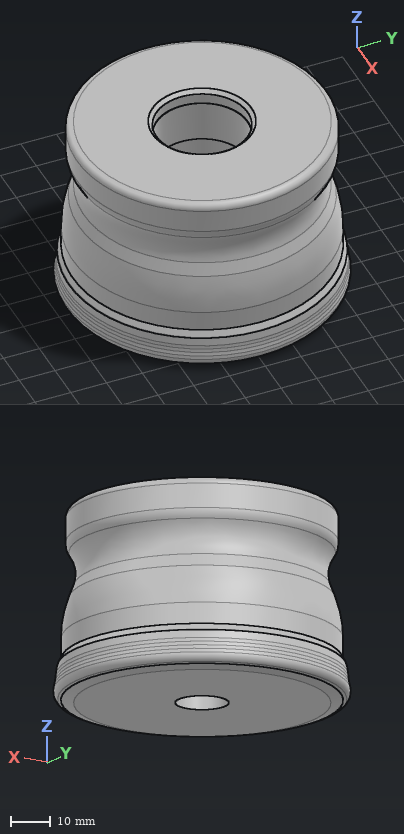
import cadquery as cq
import math

TOTAL_HEIGHT = 50.8

RIM_RADIUS = 35.0
RIM_TOP_ROUND = 2.0
RIM_BOTTOM_Z = 42.4
RIM_BLEND_RADIUS = 4.6
WAIST_RADIUS = 32.4
WAIST_BLEND_RADIUS = 10.0
TAPER_ANGLE = 20.0
SKIRT_RADIUS = 36.1
SKIRT_BLEND_RADIUS = 30.0
SKIRT_TOP_Z = 17.0
SKIRT_BOTTOM_Z = 0.7
FOOT_RADIUS = 32.9

BORE_RADIUS = 12.7
BORE_CHAMFER = 1.1
LAND_RADIUS = 12.65
LAND_TOP_DEPTH = 4.05
LAND_BOTTOM_DEPTH = 15.55
RELIEF_RADIUS = 13.0
FLOOR_THICKNESS = 10.0

HOLE_RADIUS = 6.85
HOLE_CHAMFER = 0.4

RING_RADIUS = 38.1
RING_TOP_Z = 11.3
SIDE_ANGLE = 8.6
SIDE_TOP_Z = 9.4
COLLAR_HEIGHT = 0.2
COLLAR_CORNER_RADIUS = 37.0
BOTTOM_ROUND = 2.2
ROUND_TOP_Z = 3.3
ROUND_END_ANGLE = 60.0

GROOVE_TOP_Z = 7.55
GROOVE_LIP = 0.3
GROOVE_END_HEIGHT = 1.0
GROOVE_BOTTOM_Z = 4.3
GROOVE_DEPTH = 0.1


def polar(center, radius, degrees):
    """Point on a circle in the (radius, height) half-plane."""
    angle = math.radians(degrees)
    return center[0] + radius * math.cos(angle), center[1] + radius * math.sin(angle)


def make_housing():
    """Turned body with a waist, standing on a slightly bevelled foot."""
    blend_sum = RIM_BLEND_RADIUS + WAIST_BLEND_RADIUS
    rim_center = (RIM_RADIUS - RIM_BLEND_RADIUS, RIM_BOTTOM_Z)
    waist_center_r = WAIST_RADIUS + WAIST_BLEND_RADIUS
    blend_angle = math.degrees(math.acos((waist_center_r - rim_center[0]) / blend_sum))
    waist_center = (waist_center_r, RIM_BOTTOM_Z - blend_sum * math.sin(math.radians(blend_angle)))
    skirt_center = (SKIRT_RADIUS - SKIRT_BLEND_RADIUS, SKIRT_TOP_Z)
    top_center = (RIM_RADIUS - RIM_TOP_ROUND, TOTAL_HEIGHT - RIM_TOP_ROUND)

    profile = (
        cq.Workplane("XZ")
        .moveTo(0, 0)
        .lineTo(FOOT_RADIUS, 0)
        .lineTo(SKIRT_RADIUS, SKIRT_BOTTOM_Z)
        .lineTo(SKIRT_RADIUS, SKIRT_TOP_Z)
        .threePointArc(
            polar(skirt_center, SKIRT_BLEND_RADIUS, TAPER_ANGLE / 2),
            polar(skirt_center, SKIRT_BLEND_RADIUS, TAPER_ANGLE),
        )
        .lineTo(*polar(waist_center, WAIST_BLEND_RADIUS, 180 + TAPER_ANGLE))
        .threePointArc(
            polar(waist_center, WAIST_BLEND_RADIUS, 180),
            polar(waist_center, WAIST_BLEND_RADIUS, 180 - blend_angle),
        )
        .threePointArc(polar(rim_center, RIM_BLEND_RADIUS, -blend_angle / 2), (RIM_RADIUS, RIM_BOTTOM_Z))
        .lineTo(RIM_RADIUS, top_center[1])
        .threePointArc(polar(top_center, RIM_TOP_ROUND, 45), (top_center[0], TOTAL_HEIGHT))
        .lineTo(0, TOTAL_HEIGHT)
        .close()
    )
    return profile.revolve(360, (0, 0), (0, 1)).cut(make_bore())


def make_bore():
    """Stepped bore from the top, with a smaller chamfered hole through its floor."""
    land_top = TOTAL_HEIGHT - LAND_TOP_DEPTH
    land_bottom = TOTAL_HEIGHT - LAND_BOTTOM_DEPTH
    outline = [
        (0, 0),
        (HOLE_RADIUS, 0),
        (HOLE_RADIUS, FLOOR_THICKNESS - HOLE_CHAMFER),
        (HOLE_RADIUS + HOLE_CHAMFER, FLOOR_THICKNESS),
        (RELIEF_RADIUS, FLOOR_THICKNESS),
        (RELIEF_RADIUS, land_bottom),
        (LAND_RADIUS, land_bottom),
        (LAND_RADIUS, land_top),
        (BORE_RADIUS, land_top),
        (BORE_RADIUS, TOTAL_HEIGHT - BORE_CHAMFER),
        (BORE_RADIUS + BORE_CHAMFER, TOTAL_HEIGHT),
        (0, TOTAL_HEIGHT),
    ]
    return cq.Workplane("XZ").polyline(outline).close().revolve(360, (0, 0), (0, 1))


ROUND_CENTER = (
    RING_RADIUS - BOTTOM_ROUND,
    ROUND_TOP_Z - BOTTOM_ROUND * math.sin(math.radians(SIDE_ANGLE)),
)
ROUND_TOP = polar(ROUND_CENTER, BOTTOM_ROUND, SIDE_ANGLE)


def side_point(z, inset=0.0):
    """Point on the tapered ring side at height z, moved inward by inset."""
    return ROUND_TOP[0] - (z - ROUND_TOP[1]) * math.tan(math.radians(SIDE_ANGLE)) - inset, z


def make_ring():
    """Tapered, grooved ring that fits around the lower skirt of the housing."""
    profile = (
        cq.Workplane("XZ")
        .moveTo(SKIRT_RADIUS, SKIRT_BOTTOM_Z)
        .lineTo(*polar(ROUND_CENTER, BOTTOM_ROUND, -ROUND_END_ANGLE))
        .threePointArc(polar(ROUND_CENTER, BOTTOM_ROUND, 0), ROUND_TOP)
    )
    floor_bottom = GROOVE_BOTTOM_Z + GROOVE_END_HEIGHT
    lip_z = GROOVE_TOP_Z - GROOVE_LIP
    floor_top = lip_z - GROOVE_END_HEIGHT
    end_depth = 0.75 * GROOVE_DEPTH
    profile = (
        profile.lineTo(*side_point(GROOVE_BOTTOM_Z))
        .threePointArc(
            side_point(GROOVE_BOTTOM_Z + GROOVE_END_HEIGHT / 2, end_depth),
            side_point(floor_bottom, GROOVE_DEPTH),
        )
        .lineTo(*side_point(floor_top, GROOVE_DEPTH))
        .threePointArc(
            side_point(lip_z - GROOVE_END_HEIGHT / 2, end_depth),
            side_point(lip_z),
        )
        .lineTo(*side_point(GROOVE_TOP_Z))
        .lineTo(*side_point(SIDE_TOP_Z))
        .lineTo(COLLAR_CORNER_RADIUS, SIDE_TOP_Z + COLLAR_HEIGHT)
        .lineTo(SKIRT_RADIUS, RING_TOP_Z)
        .close()
    )
    return profile.revolve(360, (0, 0), (0, 1))


housing = make_housing()
ring = make_ring()
result = cq.Compound.makeCompound([housing.val(), ring.val()])